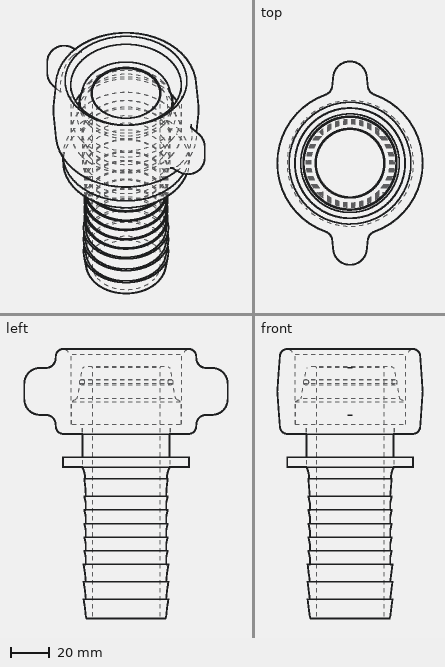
import cadquery as cq
import math

TOTAL_HEIGHT = 139.0

NUT_RADIUS = 37.5
NUT_HEIGHT = 43.9
NUT_DRAFT = math.radians(4.0)
NUT_EDGE_FILLET = 4.0
NUT_BORE_RADIUS = 57.0 / 2
NUT_MOUTH_CHAMFER = 2.9
NUT_WEB = 5.0
NUT_HOLE_RADIUS = 45.5 / 2
NUT_BOTTOM = TOTAL_HEIGHT - NUT_HEIGHT
NUT_MIDDLE = NUT_BOTTOM + NUT_HEIGHT / 2
NUT_RIM_RADIUS = NUT_RADIUS - NUT_HEIGHT / 2 * math.tan(NUT_DRAFT)
SEAT_HEIGHT = NUT_BOTTOM + NUT_WEB

LUG_REACH = 105.0 / 2
LUG_HEIGHT = 24.3
LUG_DOME_RADIUS = 8.8
LUG_FLANK_DRAFT = math.radians(6.0)
LUG_END_FILLET = 8.0
LUG_ROOT_Y = 27.8
LUG_ROOT_FILLET = 4.9
LUG_JOINT_MARGIN = 1.1

BORE_RADIUS = 35.0 / 2
BORE_CHAMFER = 0.4
NECK_RADIUS = 45.0 / 2
ROOT_RADIUS = 41.5 / 2
END_CHAMFER_HEIGHT = 1.0
END_CHAMFER_WIDTH = 0.4
NECK_FLARE_RADIUS = 21.1

TIP_HEIGHT = 130.0
TIP_FLAT_RADIUS = 41.5 / 2
TIP_FILLET = 2.1
CONE_HALF_ANGLE = math.radians(10.0)
CONE_BASE_RADIUS = 25.5
FLANGE_RADIUS = 28.4
FLANGE_HALF_ANGLE = math.radians(60.0)
TIP_FILLET_Z = TIP_HEIGHT - TIP_FILLET

COARSE_BARB_RADIUS = 22.0
COARSE_BARB_TOPS = (10.0, 19.0, 28.0)
FINE_BARB_RADIUS = 21.5
FINE_BARB_COUNT = 5
LONG_BARB_BOTTOM = 63.0
LONG_BARB_TOP = 72.0
FINE_PITCH = (LONG_BARB_BOTTOM - COARSE_BARB_TOPS[-1]) / FINE_BARB_COUNT

COLLAR_RADIUS = 65.0 / 2
COLLAR_BOTTOM = 78.0
COLLAR_THICKNESS = 5.1

RING_SECTION_RADIUS = 1.4
RING_DEPTH = 1.1
RING_SURFACE_RADIUS = 23.9


def revolved(outline):
    """Turn a closed outline in the XZ plane around the Z axis."""
    return outline.close().revolve(360, (0, 0, 0), (0, 1, 0))


def on_tip_fillet(angle):
    """(radius, height) on the tip rounding; the angle is measured up from horizontal."""
    return (
        TIP_FLAT_RADIUS + TIP_FILLET * math.cos(angle),
        TIP_FILLET_Z + TIP_FILLET * math.sin(angle),
    )


def cone_height(radius):
    """Height of the sealing cone surface at a given radius."""
    top_radius, top_height = on_tip_fillet(CONE_HALF_ANGLE)
    return top_height - (radius - top_radius) / math.tan(CONE_HALF_ANGLE)


def make_lug():
    """Rounded lug reaching out along +Y, with its root inside the nut wall."""
    tangent_x = LUG_DOME_RADIUS * math.cos(LUG_FLANK_DRAFT)
    tangent_y = LUG_REACH - LUG_DOME_RADIUS * (1 - math.sin(LUG_FLANK_DRAFT))
    root_x = tangent_x + (tangent_y - LUG_ROOT_Y) * math.tan(LUG_FLANK_DRAFT)
    body = (
        cq.Workplane("XY", origin=(0, 0, NUT_MIDDLE - LUG_HEIGHT / 2))
        .moveTo(-root_x, LUG_ROOT_Y)
        .lineTo(-tangent_x, tangent_y)
        .threePointArc((0, LUG_REACH), (tangent_x, tangent_y))
        .lineTo(root_x, LUG_ROOT_Y)
        .close()
        .extrude(LUG_HEIGHT)
    )
    return body.faces("<Z or >Z").edges("not(|X)").fillet(LUG_END_FILLET)


def lug_joint(side):
    """Selector for the edges where the lug on one side (+1 or -1) meets the nut."""
    near_y = NUT_RIM_RADIUS - LUG_JOINT_MARGIN
    far_y = NUT_RADIUS + LUG_JOINT_MARGIN
    return cq.selectors.BoxSelector(
        (-LUG_HEIGHT / 2, side * near_y, NUT_BOTTOM + NUT_EDGE_FILLET),
        (LUG_HEIGHT / 2, side * far_y, TOTAL_HEIGHT - NUT_EDGE_FILLET),
    )


def make_nut():
    """Double-tapered nut with rounded rims, two lugs, bore and web."""
    nut = revolved(
        cq.Workplane("XZ")
        .moveTo(0, NUT_BOTTOM)
        .lineTo(NUT_RIM_RADIUS, NUT_BOTTOM)
        .lineTo(NUT_RADIUS, NUT_MIDDLE)
        .lineTo(NUT_RIM_RADIUS, TOTAL_HEIGHT)
        .lineTo(0, TOTAL_HEIGHT)
    )
    nut = nut.faces("<Z or >Z").edges().fillet(NUT_EDGE_FILLET)

    lug = make_lug()
    nut = nut.union(lug).union(lug.mirror("XZ"))
    for side in (1, -1):
        nut = nut.edges(lug_joint(side)).fillet(LUG_ROOT_FILLET)

    cavity = revolved(
        cq.Workplane("XZ")
        .moveTo(0, NUT_BOTTOM)
        .lineTo(NUT_HOLE_RADIUS, NUT_BOTTOM)
        .lineTo(NUT_HOLE_RADIUS, SEAT_HEIGHT)
        .lineTo(NUT_BORE_RADIUS, SEAT_HEIGHT)
        .lineTo(NUT_BORE_RADIUS, TOTAL_HEIGHT - NUT_MOUTH_CHAMFER)
        .lineTo(NUT_BORE_RADIUS + NUT_MOUTH_CHAMFER, TOTAL_HEIGHT)
        .lineTo(0, TOTAL_HEIGHT)
    )
    return nut.cut(cavity)


def make_ring():
    """O-ring that stands slightly proud of the sealing cone."""
    center_radius = RING_SURFACE_RADIUS - RING_DEPTH * math.cos(CONE_HALF_ANGLE)
    center_z = cone_height(RING_SURFACE_RADIUS) - RING_DEPTH * math.sin(CONE_HALF_ANGLE)
    center = cq.Vector(0, 0, center_z)
    return cq.Workplane(cq.Solid.makeTorus(center_radius, RING_SECTION_RADIUS, center))


def add_barbs(outline):
    """Continue the tail outline upward through all its barbs."""
    for top in COARSE_BARB_TOPS:
        outline = outline.lineTo(COARSE_BARB_RADIUS, top).lineTo(ROOT_RADIUS, top)
    for index in range(FINE_BARB_COUNT):
        bottom = COARSE_BARB_TOPS[-1] + index * FINE_PITCH
        top = bottom + FINE_PITCH
        outline = (
            outline.lineTo(ROOT_RADIUS, bottom + FINE_PITCH / 2)
            .lineTo(FINE_BARB_RADIUS, top)
            .lineTo(ROOT_RADIUS, top)
        )
    return outline.lineTo(FINE_BARB_RADIUS, LONG_BARB_TOP)


def make_tail(ring):
    """Hose tail with barbs, neck, flange and sealing cone; the O-ring leaves its groove."""
    cone_base_z = cone_height(CONE_BASE_RADIUS)
    flange_rise = (FLANGE_RADIUS - CONE_BASE_RADIUS) / math.tan(FLANGE_HALF_ANGLE)
    fillet_middle = (CONE_HALF_ANGLE + math.pi / 2) / 2
    flare_width = NECK_RADIUS - NECK_FLARE_RADIUS
    flare_height = COLLAR_BOTTOM - LONG_BARB_TOP
    flare_arc_radius = (flare_height**2 + flare_width**2) / (2 * flare_width)
    outline = (
        cq.Workplane("XZ")
        .moveTo(BORE_RADIUS, 0)
        .lineTo(ROOT_RADIUS - END_CHAMFER_WIDTH, 0)
        .lineTo(ROOT_RADIUS, END_CHAMFER_HEIGHT)
    )
    outline = (
        add_barbs(outline)
        .lineTo(NECK_FLARE_RADIUS, LONG_BARB_TOP)
        .radiusArc((NECK_RADIUS, COLLAR_BOTTOM), flare_arc_radius)
        .lineTo(NECK_RADIUS, SEAT_HEIGHT)
        .lineTo(FLANGE_RADIUS, SEAT_HEIGHT)
        .lineTo(FLANGE_RADIUS, cone_base_z - flange_rise)
        .lineTo(CONE_BASE_RADIUS, cone_base_z)
        .lineTo(*on_tip_fillet(CONE_HALF_ANGLE))
        .threePointArc(on_tip_fillet(fillet_middle), (TIP_FLAT_RADIUS, TIP_HEIGHT))
        .lineTo(BORE_RADIUS + BORE_CHAMFER, TIP_HEIGHT)
        .lineTo(BORE_RADIUS, TIP_HEIGHT - BORE_CHAMFER)
    )
    return revolved(outline).cut(ring)


def make_collar():
    """Flat stop collar fitted around the neck."""
    return (
        cq.Workplane("XY", origin=(0, 0, COLLAR_BOTTOM))
        .circle(COLLAR_RADIUS)
        .circle(NECK_RADIUS)
        .extrude(COLLAR_THICKNESS)
    )


nut = make_nut()
ring = make_ring()
tail = make_tail(ring)
collar = make_collar()

bodies = [nut, tail, collar, ring]
result = cq.Compound.makeCompound([body.solids().val() for body in bodies])